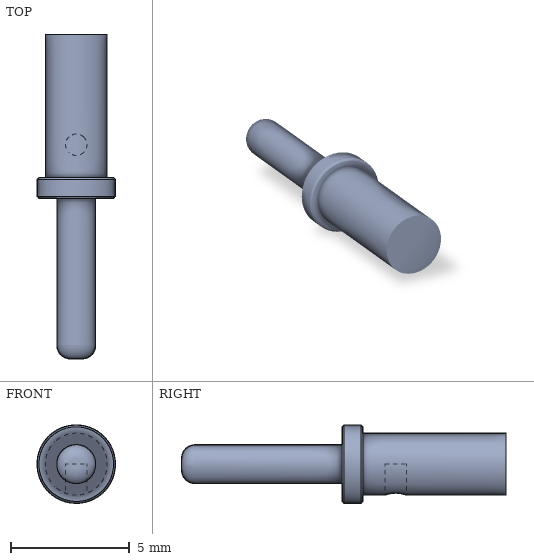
import cadquery as cq

total_length = 13.65
barrel_diameter = 2.61
flange_diameter = 3.3
pin_diameter = 1.64

pin_length = 6.75
flange_thickness = 0.87
flange_edge_chamfer = 0.08
tip_radius = 0.57

hole_diameter = 0.9
hole_distance_from_tip = 9.01

tip_y = -total_length / 2
flange_y = tip_y + pin_length
barrel_y = flange_y + flange_thickness
barrel_length = total_length - pin_length - flange_thickness


def cylinder(diameter, start_y, length):
    """Solid cylinder on the Y axis, running from start_y toward +Y."""
    plane = cq.Plane(origin=(0, start_y, 0), xDir=(1, 0, 0), normal=(0, 1, 0))
    return cq.Workplane(plane).circle(diameter / 2).extrude(length)


pin = cylinder(pin_diameter, tip_y, pin_length).faces("<Y").edges().fillet(tip_radius)

flange = cylinder(flange_diameter, flange_y, flange_thickness)
flange = flange.faces("<Y or >Y").edges().chamfer(flange_edge_chamfer)

barrel = cylinder(barrel_diameter, barrel_y, barrel_length)

radial_hole = (
    cq.Workplane("XY")
    .center(0, tip_y + hole_distance_from_tip)
    .circle(hole_diameter / 2)
    .extrude(-barrel_diameter / 2)
)

result = pin.union(flange).union(barrel).cut(radial_hole)